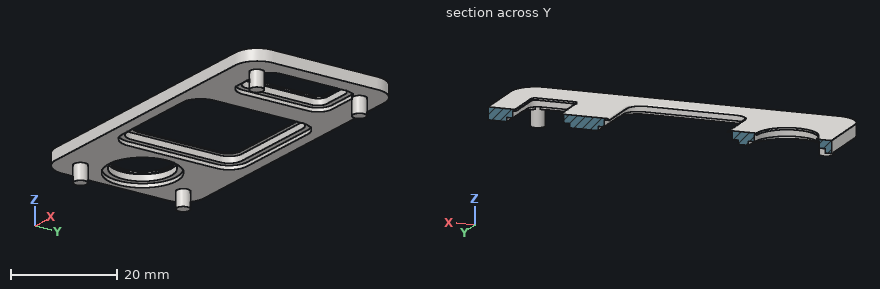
import cadquery as cq

plate_length = 69.1
plate_width = 34.1
plate_height = 2.6
corner_radius = 5.0
overall_height = 6.2

lip_depth = 0.4
bore_depth = 1.8

button_x = -25.5
button_diameter = 12.0
button_bore_diameter = 13.0
button_pocket_diameter = 15.4

bore_margin = (button_bore_diameter - button_diameter) / 2
pocket_margin = (button_pocket_diameter - button_bore_diameter) / 2

window_x = -1.65
window_length = 23.8
window_width = 24.2
window_radius = 2.9
window_fillet = 0.5
window_bore_margin = 2 * bore_margin

slot_x = 24.45
slot_length = 9.1
slot_width = 18.1
slot_radius = 0.8
slot_bore_radius = 2.1

pin_diameter = 2.8
pin_spacing_x = 58.05
pin_spacing_y = 23.5


def rounded_block(length, width, radius, top_depth, bottom_depth):
    """Block on the Z axis with rounded vertical edges, between two depths below the top face."""
    base = cq.Workplane("XY").workplane(offset=-bottom_depth)
    return base.rect(length, width).extrude(bottom_depth - top_depth).edges("|Z").fillet(radius)


def cylinder(diameter, top_depth, bottom_depth):
    """Cylinder on the Z axis, between two depths below the top face."""
    base = cq.Workplane("XY").workplane(offset=-bottom_depth)
    return base.circle(diameter / 2).extrude(bottom_depth - top_depth)


def rectangle_steps(length, width, margin, bore_radius):
    """Cutter for the bore and pocket below a rectangular opening."""
    bore_length = length + 2 * margin
    bore_width = width + 2 * margin
    bore = rounded_block(bore_length, bore_width, bore_radius, lip_depth, bore_depth)
    pocket = rounded_block(
        bore_length + 2 * pocket_margin,
        bore_width + 2 * pocket_margin,
        bore_radius + pocket_margin,
        bore_depth,
        plate_height,
    )
    return bore.union(pocket)


def cut_window(plate):
    """Cut the window, round its upper edge, then widen it below the lip."""
    opening = rounded_block(window_length, window_width, window_radius, 0, plate_height)
    steps = rectangle_steps(window_length, window_width, window_bore_margin, window_radius)
    edge_point = (window_x + window_length / 2, 0, 0)
    plate = plate.cut(opening.translate((window_x, 0, 0)))
    plate = plate.edges(cq.selectors.NearestToPointSelector(edge_point)).fillet(window_fillet)
    return plate.cut(steps.translate((window_x, 0, 0)))


def slot_cutter():
    """Cutter for the slot with its bore and pocket."""
    opening = rounded_block(slot_length, slot_width, slot_radius, 0, plate_height)
    steps = rectangle_steps(slot_length, slot_width, bore_margin, slot_bore_radius)
    return opening.union(steps).translate((slot_x, 0, 0))


def button_cutter():
    """Cutter for the round button hole with its bore and pocket."""
    opening = cylinder(button_diameter, 0, bore_depth)
    bore = cylinder(button_bore_diameter, lip_depth, bore_depth)
    pocket = cylinder(button_pocket_diameter, bore_depth, plate_height)
    return opening.union(bore).union(pocket).translate((button_x, 0, 0))


def locating_pins():
    """Four pins that reach from the bore depth down to the lowest point of the part."""
    base = cq.Workplane("XY").workplane(offset=-overall_height)
    corners = base.rect(pin_spacing_x, pin_spacing_y, forConstruction=True).vertices()
    return corners.circle(pin_diameter / 2).extrude(overall_height - bore_depth)


plate = rounded_block(plate_length, plate_width, corner_radius, 0, plate_height)
plate = cut_window(plate)
plate = plate.cut(slot_cutter())
plate = plate.cut(button_cutter())
result = plate.union(locating_pins())